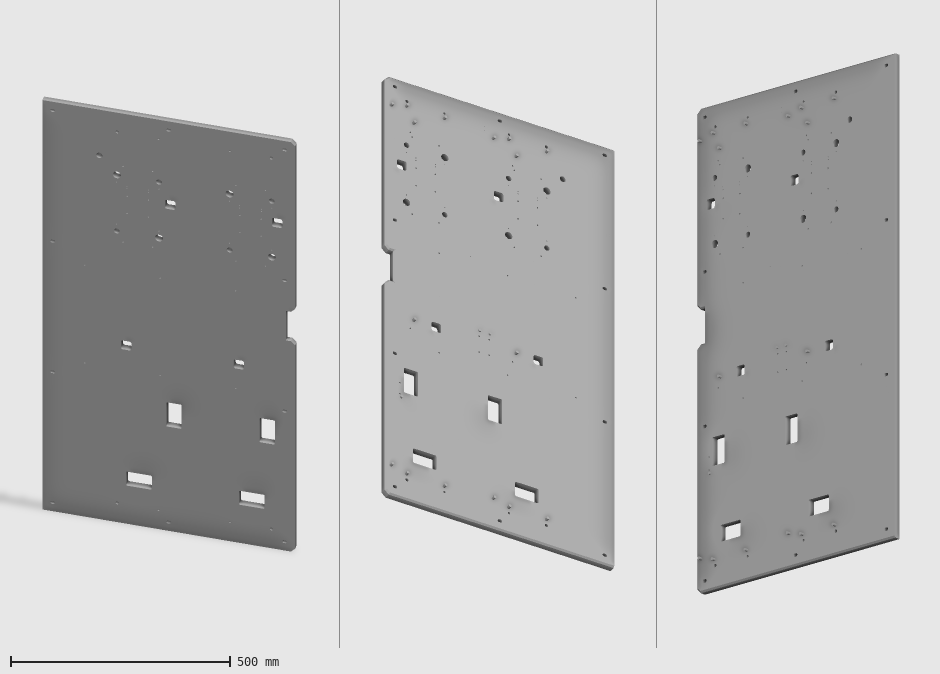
import cadquery as cq

width = 599.5
height = 1170.0
thickness = 18.0
overall_depth = 27.0
peg_height = overall_depth - thickness
low_peg_height = 4.0
corner_chamfer = 10.0
back_edge_chamfer = 4.0

notch_depth = 22.0
notch_height = 84.0
notch_z = 58.0

slot_length = 11.5
slot_width = 8.0
slot_x = 275.0
slot_z = 560.0
slot_rows = 4

bay_pitch = 267.5
first_bay_x = -73.0
bay_xs = (first_bay_x, first_bay_x + bay_pitch)
bay_z = 327.0
bay_column = 50.0

edge_hole_z = 530.0
edge_hole_column = 49.0
outer_edge_hole_diameter = 8.0
inner_edge_hole_diameter = 6.0

bushing_z = 80.0
large_bushing_diameter = 19.0
small_bushing_diameter = 14.0
pilot_diameter = 4.0
pilot_places = (
    (-35.0, 108.0),
    (35.0, 108.0),
    (-35.0, -108.0),
    (35.0, -108.0),
    (-25.5, 24.5),
    (25.0, 24.5),
    (-25.5, -24.5),
    (25.0, -24.5),
)
fine_diameter = 2.5
fine_places = (
    (-50.0, 60.0),
    (50.0, 60.0),
    (-50.0, -60.0),
    (50.0, -60.0),
    (-26.0, 45.5),
    (-26.0, 52.5),
    (25.5, 45.5),
    (25.5, 52.5),
)

cable_hole_place = (-164.5, 454.5)
cable_hole_diameter = 15.0

screw_diameter = 4.0
screw_xs = (-199.0, -20.0, 159.0)
screw_zs = (134.0, -145.0)

square_window = 25.0
square_window_radius = 5.0
lower_square_window_x = -101.0
square_window_places = (
    (3.5, 347.0),
    (257.0, 347.0),
    (lower_square_window_x, -76.0),
    (lower_square_window_x + bay_pitch, -76.0),
)
tall_window_width = 37.0
tall_window_height = 69.0
tall_window_places = ((12.5, -253.0), (233.5, -253.0))
wide_window_width = 61.0
wide_window_height = 40.0
wide_window_x = -70.5
wide_window_places = ((wide_window_x, -456.0), (wide_window_x + bay_pitch, -456.0))
window_radius = 3.0

skin = 2.0
blind_diameter = 4.0
bay_blind_x = -33.0
blind_places = (
    (bay_blind_x, 446.0),
    (bay_blind_x + bay_pitch, 446.0),
    (bay_blind_x, -103.0),
    (bay_blind_x + bay_pitch, -103.0),
    (28.0, -62.0),
    (54.0, -62.0),
    (28.0, -106.0),
    (54.0, -106.0),
    (262.0, -264.0),
    (262.0, -295.0),
)
fine_blind_diameter = 2.0
fine_blind_places = ((41.0, 531.0), (41.0, 518.0), (77.0, 154.0))

peg_diameter = 7.0
paired_pegs = ((-48.0, 515.0), (51.0, 515.0), (91.0, 504.0))
single_pegs = ((32.0, 474.0), (32.0, -78.0))
low_peg_diameter = 6.0
low_peg_places = ((27.0, -47.0), (54.0, -47.0), (258.5, -304.0))


def back_prism(start_y, length, draw):
    """Extrude the XZ outline made by draw from Y = start_y towards +Y."""
    plane = cq.Plane(origin=(0, start_y, 0), xDir=(1, 0, 0), normal=(0, -1, 0))
    return draw(cq.Workplane(plane)).extrude(-length)


def cylinders(places, diameter, start_y, length):
    return back_prism(start_y, length, lambda plane: plane.pushPoints(places).circle(diameter / 2))


def through_holes(places, diameter):
    return cylinders(places, diameter, 0, thickness)


def windows(places, size_x, size_z, radius):
    block = back_prism(0, thickness, lambda plane: plane.pushPoints(places).rect(size_x, size_z))
    return block.edges("|Y").fillet(radius)


def panel():
    """Board with a notched right side and bevelled corners and back edges."""
    right = width / 2
    top = height / 2
    notch_x = right - notch_depth
    notch_low = notch_z - notch_height / 2
    notch_high = notch_z + notch_height / 2
    outline = [
        (-right, -top),
        (right, -top),
        (right, notch_low),
        (notch_x, notch_low),
        (notch_x, notch_high),
        (right, notch_high),
        (right, top),
        (-right, top),
    ]
    body = back_prism(0, thickness, lambda plane: plane.polyline(outline).close())
    body = body.edges("|Y and >X").chamfer(corner_chamfer)
    back_edges = body.faces(">Y").edges("not <X")
    return back_edges.chamfer(back_edge_chamfer)


def mounting_slots():
    row_pitch = 2 * slot_z / (slot_rows - 1)
    places = [(0, -slot_z), (0, slot_z)]
    for row in range(slot_rows):
        for side in (-1, 1):
            places.append((side * slot_x, -slot_z + row * row_pitch))
    return back_prism(
        0, thickness, lambda plane: plane.pushPoints(places).slot2D(slot_length, slot_width)
    )


def edge_holes():
    """Mounting holes near the top and bottom; the outermost pair of each row is larger."""
    first, last = bay_xs
    outer_places = []
    inner_places = []
    for z in (-edge_hole_z, edge_hole_z):
        outer_places += [(first - edge_hole_column, z), (last + edge_hole_column, z)]
        inner_places += [(first + edge_hole_column, z), (last - edge_hole_column, z)]
    outer = through_holes(outer_places, outer_edge_hole_diameter)
    return outer.union(through_holes(inner_places, inner_edge_hole_diameter))


def bay_holes():
    """Bushing, pilot and fine holes of every bay."""
    large = []
    small = []
    pilots = []
    fine = []
    for x in bay_xs:
        for side in (-1, 1):
            large.append((x + side * bay_column, bay_z - side * bushing_z))
            small.append((x + side * bay_column, bay_z + side * bushing_z))
        pilots += [(x + dx, bay_z + dz) for dx, dz in pilot_places]
        fine += [(x + dx, bay_z + dz) for dx, dz in fine_places]
    holes = through_holes(large, large_bushing_diameter)
    holes = holes.union(through_holes(small, small_bushing_diameter))
    holes = holes.union(through_holes(pilots, pilot_diameter))
    return holes.union(through_holes(fine, fine_diameter))


def screw_holes():
    places = [(x, z) for x in screw_xs for z in screw_zs]
    return through_holes(places, screw_diameter)


def blind_holes():
    depth = thickness - skin
    holes = cylinders(blind_places, blind_diameter, skin, depth)
    return holes.union(cylinders(fine_blind_places, fine_blind_diameter, skin, depth))


def pegs():
    places = []
    for bay_x in bay_xs:
        for dx, z in paired_pegs:
            places += [(bay_x + dx, z), (bay_x + dx, -z)]
        places += [(bay_x + dx, z) for dx, z in single_pegs]
    tall = cylinders(places, peg_diameter, thickness, peg_height)
    return tall.union(cylinders(low_peg_places, low_peg_diameter, thickness, low_peg_height))


result = panel()
result = result.union(pegs())
result = result.cut(mounting_slots())
result = result.cut(edge_holes())
result = result.cut(bay_holes())
result = result.cut(screw_holes())
result = result.cut(through_holes([cable_hole_place], cable_hole_diameter))
result = result.cut(windows(square_window_places, square_window, square_window, square_window_radius))
result = result.cut(windows(tall_window_places, tall_window_width, tall_window_height, window_radius))
result = result.cut(windows(wide_window_places, wide_window_width, wide_window_height, window_radius))
result = result.cut(blind_holes())